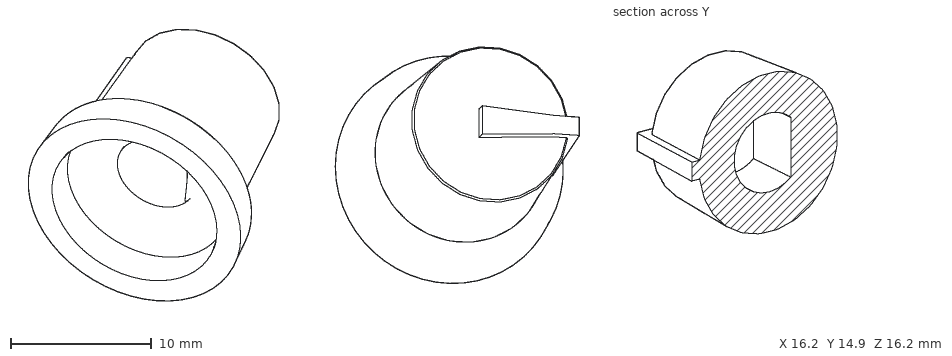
import cadquery as cq
import math


skirt_radius = 8.1
skirt_shoulder_radius = 7.9
skirt_shoulder_y = 2.69
shoulder_fillet = 0.32

grip_base_radius = 6.2
grip_end_radius = 5.69
grip_end_y = 13.93
grip_end_drop = 0.16
grip_end_inset = 0.11
flat_count = 24
flat_base_half_angle = 6.0
flat_end_half_angle = 7.1
grip_base_y = skirt_shoulder_y + skirt_shoulder_radius - grip_base_radius

pointer_base_y = 3.24
pointer_tip_y = 14.9
pointer_outer_base_x = -6.9
pointer_outer_tip_x = -6.32
pointer_flare_x = -4.47
pointer_inner_base_x = 1.38
pointer_inner_tip_x = 0.8
pointer_base_width = 1.52
pointer_tip_width = 1.35
pointer_flare_width = 2.07
pointer_top_drop = 0.18
pointer_corner_fillet = 0.16

mouth_radius = 6.29
mouth_end_radius = 6.09
mouth_depth = 2.51
shaft_radius = 3.0
shaft_floor_radius = 2.95
shaft_depth = 11.99
funnel_angle = 30.0
shaft_flat_x = 1.93
shaft_flat_fillet = 1.13


def turned(points):
    """Solid of revolution about Y from (radius, y) points."""
    return cq.Workplane("XY").polyline(points).close().revolve(360, (0, 0, 0), (0, 1, 0))


def loft_along_y(start_y, start_points, end_y, end_points):
    """Ruled solid between two (x, z) outlines in planes normal to Y."""
    return (
        cq.Workplane("XZ", origin=(0, start_y, 0)).polyline(start_points).close()
        .workplane(offset=start_y - end_y).polyline(end_points).close()
        .loft(ruled=True)
    )


def grip_outline(corner_radius, flat_half_angle):
    """Polygon of wide flats, each parted from the next by a narrow strip."""
    pitch = 360 / flat_count
    corner_angles = [
        math.radians(i * pitch + side * flat_half_angle)
        for i in range(flat_count)
        for side in (-1, 1)
    ]
    return [(corner_radius * math.cos(a), corner_radius * math.sin(a)) for a in corner_angles]


def make_skirt():
    skirt = turned([
        (0, 0),
        (skirt_radius, 0),
        (skirt_shoulder_radius, skirt_shoulder_y),
        (grip_base_radius, grip_base_y),
        (0, grip_base_y),
    ])
    shoulder = cq.selectors.NearestToPointSelector((0, skirt_shoulder_y, 0))
    return skirt.edges("%CIRCLE").edges(shoulder).fillet(shoulder_fillet)


def make_grip():
    grip = loft_along_y(
        grip_base_y, grip_outline(grip_base_radius, flat_base_half_angle),
        grip_end_y, grip_outline(grip_end_radius, flat_end_half_angle),
    )
    return grip.faces(">Y").chamfer(grip_end_drop, grip_end_inset)


def pointer_outline(outer_x, inner_x, width, flare_width):
    half, flare_half = width / 2, flare_width / 2
    return [
        (outer_x, -half),
        (pointer_flare_x, -half),
        (inner_x, -flare_half),
        (inner_x, flare_half),
        (pointer_flare_x, half),
        (outer_x, half),
    ]


def make_pointer():
    draft = pointer_base_width - pointer_tip_width
    bar = loft_along_y(
        pointer_base_y,
        pointer_outline(pointer_outer_base_x, pointer_inner_base_x,
                        pointer_base_width, pointer_flare_width + draft),
        pointer_tip_y,
        pointer_outline(pointer_outer_tip_x, pointer_inner_tip_x,
                        pointer_tip_width, pointer_flare_width),
    )
    side_profile = (
        cq.Workplane("XY")
        .polyline([
            (pointer_outer_base_x, pointer_base_y),
            (pointer_inner_base_x, pointer_base_y),
            (pointer_inner_tip_x, pointer_tip_y),
            (pointer_outer_tip_x, pointer_tip_y - pointer_top_drop),
        ])
        .close()
        .extrude(pointer_flare_width, both=True)
    )
    outer_corner = cq.selectors.NearestToPointSelector((pointer_outer_tip_x, pointer_tip_y, 0))
    return bar.intersect(side_profile.edges("|Z").edges(outer_corner).fillet(pointer_corner_fillet))


def make_bore():
    funnel_slope = math.tan(math.radians(funnel_angle))
    funnel_tip_y = mouth_depth + mouth_end_radius * funnel_slope
    funnel = turned([
        (0, 0),
        (mouth_radius, 0),
        (mouth_end_radius, mouth_depth),
        (0, funnel_tip_y),
    ])
    shaft = turned([
        (0, mouth_depth),
        (shaft_radius, mouth_depth),
        (shaft_floor_radius, shaft_depth),
        (0, shaft_depth),
    ])
    beyond_flat = (
        cq.Workplane("XY")
        .box(shaft_radius, shaft_depth, 2 * shaft_radius, centered=(False, False, True))
        .translate((shaft_flat_x, 0, 0))
    )
    bore = funnel.union(shaft.cut(beyond_flat))
    flat_edge_y = funnel_tip_y - shaft_flat_x * funnel_slope
    flat_edge = cq.selectors.NearestToPointSelector((shaft_flat_x, flat_edge_y, 0))
    return bore.edges(flat_edge).fillet(shaft_flat_fillet)


result = make_skirt().union(make_grip()).union(make_pointer()).cut(make_bore())